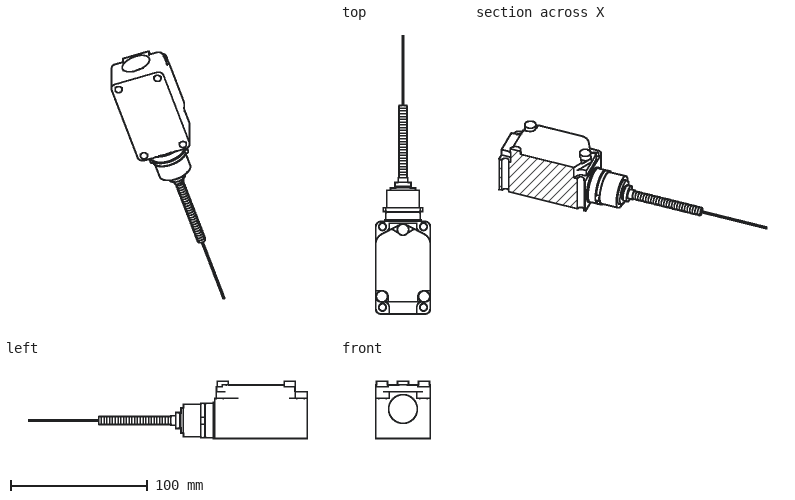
import cadquery as cq
import math


width = 40.0
half_width = width / 2
length = 67.8
corner_radius = 4.0
shoulder_z = 29.3
block_z = 34.4
cover_z = 39.2
overall_length = 203.7

hole_diameter = 5.2
hole_inset = 5.0
hole_pitch_y = 58.9
hole_x = half_width - hole_inset
block_half_width = 10.1
pocket_radius = 4.0
back_block_y = 66.6

cover_front_y = 9.0
roof_slope = math.radians(27)
roof_tip_y = 66.5
side_corner_radius = 8.9

screw_radius = 4.1
screw_top_z = 42.0
recess_z = 38.0
front_screw_x = 15.4
front_screw_y = 12.9
recess_half_width = 4.5
back_recess_half_width = 8.2
back_screw_y = 61.8
back_recess_front_y = back_screw_y - recess_half_width

port_radius = 10.5
port_z = 21.6
port_depth = 11.0

axis_z = 13.2
pad_radius = 13.2
flange_radius = 12.75
collar_radius = 12.0
boot_radius = 9.15
pad_end_y = 68.9
flange_end_y = 74.5
ring_start_y = 75.0
ring_end_y = 77.8
collar_end_y = 90.6
boot_end_y = 92.4
lug_radius = 2.6

neck_radius = 5.3
nut_radius = 6.0
stem_radius = 3.5
neck_end_y = 93.4
nut_end_y = 96.3
stem_end_y = 99.8
spring_end_y = 152.6
spring_radius = 3.1
spring_groove_depth = 0.5
coil_count = 26
wire_radius = 0.6


def roof_y(x):
    """Y of the cover's sloping back wall at the distance x from the middle."""
    return roof_tip_y - x * math.tan(roof_slope)


def screw_head(x, y):
    head = cq.Workplane("XY", origin=(x, y, recess_z))
    return head.circle(screw_radius).extrude(screw_top_z - recess_z)


def make_cover():
    """Raised cover: rounded rectangle in front, pointed roof shape at the back."""
    outline = [
        (-half_width, cover_front_y),
        (half_width, cover_front_y),
        (half_width, roof_y(half_width)),
        (0, roof_tip_y),
        (-half_width, roof_y(half_width)),
    ]
    height = cover_z - shoulder_z
    cover = cq.Workplane("XY", origin=(0, 0, shoulder_z)).polyline(outline).close().extrude(height)
    cover = cover.edges("|Z and (>X or <X)").edges(">Y").fillet(side_corner_radius)
    return cover.edges("|Z").edges("<Y").fillet(corner_radius)


def make_end_blocks():
    """Low blocks between the mounting holes, flared by the pocket radius where they meet the cover."""
    height = block_z - shoulder_z
    flare_x = block_half_width + pocket_radius
    middle_y = length / 2

    diagonal = pocket_radius * math.sqrt(0.5)
    front_start_y = cover_front_y - pocket_radius
    front = cq.Workplane("XY", origin=(0, 0, shoulder_z)).moveTo(0, 0).lineTo(block_half_width, 0)
    front = front.lineTo(block_half_width, front_start_y)
    front = front.threePointArc(
        (flare_x - diagonal, front_start_y + diagonal), (flare_x, cover_front_y)
    )
    front = front.lineTo(flare_x, middle_y).lineTo(0, middle_y).close().extrude(height)

    turn = math.pi / 2 - roof_slope
    tangent_length = pocket_radius * math.tan(turn / 2)
    back_start_y = roof_y(block_half_width) + tangent_length
    arc_end_x = block_half_width + tangent_length * math.cos(roof_slope)
    arc_middle = (
        flare_x - pocket_radius * math.cos(turn / 2),
        back_start_y - pocket_radius * math.sin(turn / 2),
    )
    back = cq.Workplane("XY", origin=(0, 0, shoulder_z)).moveTo(0, back_block_y)
    back = back.lineTo(block_half_width, back_block_y).lineTo(block_half_width, back_start_y)
    back = back.threePointArc(arc_middle, (arc_end_x, roof_y(arc_end_x)))
    back = back.lineTo(arc_end_x, middle_y).lineTo(0, middle_y).close().extrude(height)

    half = front.union(back)
    return half.union(half.mirror("YZ"))


def front_screw_recess(side):
    """Recess at a front cover corner, rounded behind the screw head on the inner side."""
    inner_x = front_screw_x - recess_half_width
    depth_y = front_screw_y + screw_radius
    recess = cq.Workplane("XY", origin=(0, 0, recess_z))
    recess = recess.center(side * (inner_x + half_width) / 2, depth_y / 2)
    recess = recess.rect(half_width - inner_x, depth_y).extrude(screw_top_z - recess_z)
    inner_edge = "<X" if side > 0 else ">X"
    return recess.edges("|Z").edges(inner_edge).edges(">Y").fillet(screw_radius)


def back_screw_recess():
    """V-shaped recess at the tip of the cover, its point rounded around the screw head."""
    side_y = roof_y(back_recess_half_width)
    outline = [
        (0, back_recess_front_y),
        (back_recess_half_width, side_y),
        (back_recess_half_width, length),
        (-back_recess_half_width, length),
        (-back_recess_half_width, side_y),
    ]
    recess = cq.Workplane("XY", origin=(0, 0, recess_z)).polyline(outline).close()
    recess = recess.extrude(screw_top_z - recess_z)
    return recess.edges("|Z").edges("<Y").fillet(screw_radius)


def make_housing():
    base = cq.Workplane("XY").center(0, length / 2).rect(width, length).extrude(shoulder_z)
    base = base.edges("|Z").fillet(corner_radius)
    housing = base.union(make_cover()).union(make_end_blocks())

    housing = housing.cut(back_screw_recess()).union(screw_head(0, back_screw_y))
    for side in (-1, 1):
        housing = housing.cut(front_screw_recess(side))
        housing = housing.union(screw_head(side * front_screw_x, front_screw_y))

    hole_places = [(side * hole_x, y) for side in (-1, 1) for y in (hole_inset, hole_inset + hole_pitch_y)]
    holes = cq.Workplane("XY").pushPoints(hole_places).circle(hole_diameter / 2).extrude(cover_z)
    port = cq.Workplane("XZ", origin=(0, 0, port_z)).circle(port_radius).extrude(-port_depth)
    return housing.cut(holes).cut(port)


def turned(outline):
    """Solid turned about the stick axis from an outline of (y, radius) corners."""
    return outline.close().revolve(360, (0, 0, 0), (1, 0, 0)).translate((0, 0, axis_z))


def add_steps(outline, steps):
    """Continue a turned outline with one (radius, start y, end y) step after another."""
    for radius, start_y, end_y in steps:
        outline = outline.lineTo(start_y, radius).lineTo(end_y, radius)
    return outline


def make_head():
    """Rotary head: mounting pad, flange, ring, collar and boot, with two round lugs at its sides."""
    outline = cq.Workplane("YZ").moveTo(length, 0)
    outline = add_steps(outline, [
        (pad_radius, length, pad_end_y),
        (flange_radius, pad_end_y, flange_end_y),
        (collar_radius, flange_end_y, ring_start_y),
        (flange_radius, ring_start_y, ring_end_y),
        (collar_radius, ring_end_y, collar_end_y),
        (boot_radius, collar_end_y, boot_end_y),
    ])
    head = turned(outline.lineTo(boot_end_y, 0))
    for side in (-1, 1):
        lug = cq.Workplane("XZ", origin=(side * collar_radius, ring_start_y, axis_z))
        head = head.union(lug.circle(lug_radius).extrude(ring_start_y - ring_end_y))
    return head


def make_stick():
    """Wobble stick: neck, nut, stem, close-wound spring and the straight wire at its end."""
    outline = cq.Workplane("YZ").moveTo(boot_end_y, 0)
    outline = add_steps(outline, [
        (neck_radius, boot_end_y, neck_end_y),
        (nut_radius, neck_end_y, nut_end_y),
        (stem_radius, nut_end_y, stem_end_y),
    ])
    pitch = (spring_end_y - stem_end_y) / coil_count
    groove_radius = spring_radius - spring_groove_depth
    outline = outline.lineTo(stem_end_y, groove_radius)
    for coil in range(coil_count):
        coil_y = stem_end_y + coil * pitch
        outline = outline.threePointArc(
            (coil_y + pitch / 2, spring_radius), (coil_y + pitch, groove_radius)
        )
    outline = add_steps(outline, [(wire_radius, spring_end_y, overall_length)])
    return turned(outline.lineTo(overall_length, 0))


housing = make_housing()
head = make_head()
stick = make_stick()

result = cq.Compound.makeCompound([housing.val(), head.val(), stick.val()])